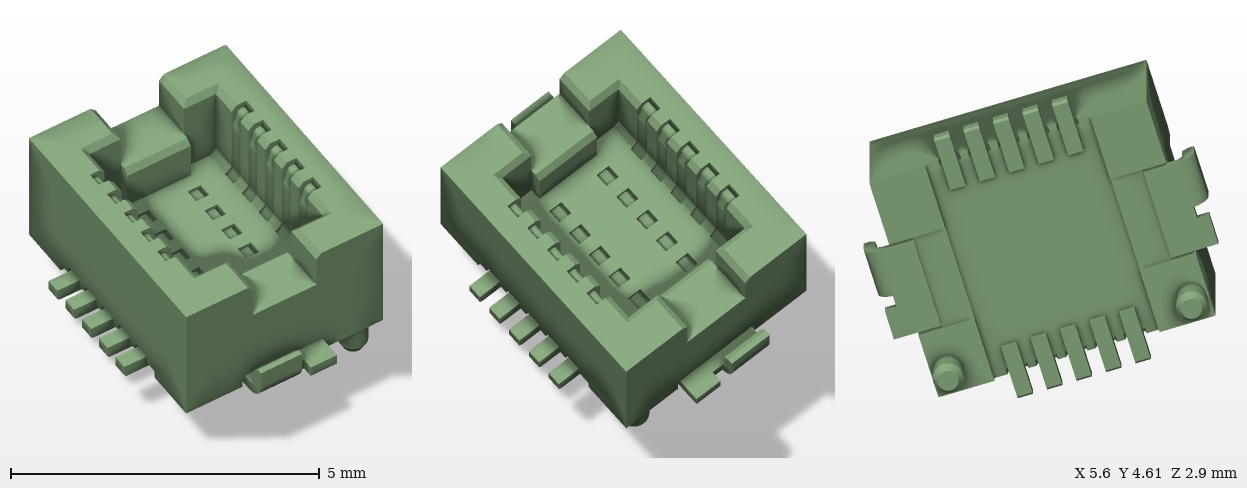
import cadquery as cq
import math


BODY_X = 4.7
BODY_Y = 3.8
BODY_Z = 2.3
EDGE_CHAMFER = 0.1

CAVITY_X = 3.2
CAVITY_Y = 2.45
FLOOR_Z = 0.8

SLOT_Y = 1.22
SLOT_Z = 1.6
BLOCK_GAP_X = 2.8

CHANNEL_X = 2.8
CHANNEL_Z = 0.15
GROOVE_Y = 1.62
GROOVE_Z = 0.065
END_NOTCH_Z = 0.24
END_NOTCH_DEPTH = 0.4

CONTACT_COUNT = 5
PITCH = 0.5
CONTACT_WIDTH = 0.26
CONTACT_X = [(i - (CONTACT_COUNT - 1) / 2) * PITCH for i in range(CONTACT_COUNT)]

CONTACT_SLOT_Y = 1.505
CONTACT_GAP_Z = 2.08
CREST_BACK_Y = 1.46
CREST_FRONT_Y = 1.42
CREST_Z = 2.19
SHOULDER_Y = 1.325
SHOULDER_Z = 2.13
KNEE_Y = 1.258
KNEE_TOP_Z = 1.91
KNEE_BOTTOM_Z = 1.84
CONTACT_FACE_Y = 1.245
FOOT_SLOPE = math.radians(50)
FOOT_BEND = 0.09
FOOT_BEND_Z = FLOOR_Z + 0.09
FOOT_SLOPE_Y = CONTACT_FACE_Y - FOOT_BEND * (1 - math.cos(FOOT_SLOPE))
FOOT_SLOPE_Z = FOOT_BEND_Z - FOOT_BEND * math.sin(FOOT_SLOPE)
FOOT_Y = 1.09
FOOT_Z = FOOT_SLOPE_Z - (FOOT_SLOPE_Y - FOOT_Y) * math.tan(FOOT_SLOPE)

WINDOW_Y = 0.5
WINDOW_SIZE = 0.255
WINDOW_DEPTH = 0.14
TIP_DEPTH = 0.065
TIP_SLOPE = 0.06

LEAD_SPAN_Y = 4.61
LEAD_INNER_Y = 1.4
LEAD_Z = 0.235
LEAD_END_CHAMFER = 0.04
LEAD_NOTCH_TOP = 0.31
LEAD_NOTCH_BASE = 0.37
LEAD_NOTCH_Z = 0.295
LEAD_NOTCH_DEPTH = 0.1

METAL = 0.2
BRACKET_TAB_X = 2.75
TAB_Y = (0.245, 0.75)
NECK_X = 2.55
HOOK_X = 2.8
HOOK_Y = (-0.75, 0.045)
HOOK_Z = 0.69
HOOK_BEND = 0.36
HOOK_INNER_BEND = 0.14
HOOK_TIP_CHAMFER = 0.1

PEG_X = 2.065
PEG_Y = 1.5
PEG_DIAMETER = 0.5
PEG_TIP_DIAMETER = 0.34
PEG_LENGTH = 0.6
PEG_TIP_LENGTH = 0.15


def box(x, y, z):
    """Box spanning the given (low, high) ranges."""
    size = (x[1] - x[0], y[1] - y[0], z[1] - z[0])
    return cq.Workplane("XY").box(*size, centered=False).translate((x[0], y[0], z[0]))


def centered_box(size_x, size_y, z):
    """Box centered on the Z axis, spanning the (low, high) range z."""
    return box((-size_x / 2, size_x / 2), (-size_y / 2, size_y / 2), z)


def extrude_x(sketch, center, width):
    """Extrude a (Y, Z) sketch symmetrically about X = center."""
    return sketch.extrude(width / 2, both=True).translate((center, 0, 0))


def both_sides(shape, plane):
    """The shape together with its mirror image about the given plane."""
    return shape.union(shape.mirror(plane))


def make_cavity():
    """Socket opening with its end slots; the top rim is chamfered."""
    well = centered_box(CAVITY_X, CAVITY_Y, (FLOOR_Z, BODY_Z))
    end_slot = centered_box(BODY_X, SLOT_Y, (SLOT_Z, BODY_Z))
    rim = cq.Workplane("XY").workplane(offset=BODY_Z)
    grow = 2 * EDGE_CHAMFER
    well_rim = (
        rim.rect(CAVITY_X + grow, CAVITY_Y + grow)
        .workplane(offset=-EDGE_CHAMFER)
        .rect(CAVITY_X, CAVITY_Y)
        .loft(ruled=True)
    )
    slot_rim = (
        cq.Workplane("YZ")
        .moveTo(-SLOT_Y / 2, BODY_Z - EDGE_CHAMFER)
        .lineTo(SLOT_Y / 2, BODY_Z - EDGE_CHAMFER)
        .lineTo(SLOT_Y / 2 + EDGE_CHAMFER, BODY_Z)
        .lineTo(-SLOT_Y / 2 - EDGE_CHAMFER, BODY_Z)
        .close()
    )
    cavity = well.edges("|X and <Z").chamfer(EDGE_CHAMFER)
    return cavity.union(end_slot).union(well_rim).union(extrude_x(slot_rim, 0, BODY_X))


def make_end_block():
    """Low block that closes the +X end of the cavity under the slot."""
    block = box((BLOCK_GAP_X / 2, BODY_X / 2), (-SLOT_Y / 2, SLOT_Y / 2), (FLOOR_Z, SLOT_Z))
    return block.edges("<X and >Z").chamfer(EDGE_CHAMFER)


def make_contact_slot(x):
    """Recess in the +Y wall whose outer boundary is the contact surface."""
    profile = (
        cq.Workplane("YZ")
        .moveTo(FOOT_Y, BODY_Z)
        .lineTo(CONTACT_SLOT_Y, BODY_Z)
        .lineTo(CONTACT_SLOT_Y, CONTACT_GAP_Z)
        .lineTo(CREST_BACK_Y, CREST_Z)
        .lineTo(CREST_FRONT_Y, CREST_Z)
        .tangentArcPoint((SHOULDER_Y, SHOULDER_Z), relative=False)
        .lineTo(KNEE_Y, KNEE_TOP_Z)
        .tangentArcPoint((CONTACT_FACE_Y, KNEE_BOTTOM_Z), relative=False)
        .lineTo(CONTACT_FACE_Y, FOOT_BEND_Z)
        .tangentArcPoint((FOOT_SLOPE_Y, FOOT_SLOPE_Z), relative=False)
        .lineTo(FOOT_Y, FOOT_Z)
        .close()
    )
    return extrude_x(profile, x, CONTACT_WIDTH)


def make_floor_window(x, y):
    """Floor pocket that leaves a sloped contact tip standing inside it."""
    half = WINDOW_SIZE / 2
    low = FLOOR_Z - WINDOW_DEPTH
    tip = FLOOR_Z - TIP_DEPTH
    profile = (
        cq.Workplane("YZ")
        .moveTo(y - half, FLOOR_Z)
        .lineTo(y - half, low)
        .lineTo(y - half + TIP_SLOPE, tip)
        .lineTo(y + half - TIP_SLOPE, tip)
        .lineTo(y + half, low)
        .lineTo(y + half, FLOOR_Z)
        .close()
    )
    return extrude_x(profile, x, WINDOW_SIZE)


def make_lead_notch(x):
    """Tapered clearance above one lead in the +Y face."""
    return (
        cq.Workplane("XZ")
        .moveTo(x - LEAD_NOTCH_BASE / 2, CHANNEL_Z)
        .lineTo(x + LEAD_NOTCH_BASE / 2, CHANNEL_Z)
        .lineTo(x + LEAD_NOTCH_TOP / 2, LEAD_NOTCH_Z)
        .lineTo(x - LEAD_NOTCH_TOP / 2, LEAD_NOTCH_Z)
        .close()
        .extrude(LEAD_NOTCH_DEPTH)
        .translate((0, BODY_Y / 2, 0))
    )


def make_lead(x):
    """Solder lead projecting from the +Y face."""
    half = CONTACT_WIDTH / 2
    lead = box((x - half, x + half), (LEAD_INNER_Y, LEAD_SPAN_Y / 2), (0, LEAD_Z))
    return lead.edges(">Y and <Z").chamfer(LEAD_END_CHAMFER)


def make_bracket():
    """Hold-down at the +X end: a flat tab, a neck and an upturned hook."""
    inner_x = BODY_X / 2 - END_NOTCH_DEPTH
    tab = box((inner_x, BRACKET_TAB_X), TAB_Y, (0, METAL))
    neck = box((inner_x, NECK_X), (HOOK_Y[1], TAB_Y[0]), (0, METAL))
    hook_inner_x = HOOK_X - METAL
    hook = (
        cq.Workplane("XZ")
        .moveTo(inner_x, 0)
        .lineTo(HOOK_X - HOOK_BEND, 0)
        .tangentArcPoint((HOOK_X, HOOK_BEND), relative=False)
        .lineTo(HOOK_X, HOOK_Z)
        .lineTo(hook_inner_x + HOOK_TIP_CHAMFER, HOOK_Z)
        .lineTo(hook_inner_x, HOOK_Z - HOOK_TIP_CHAMFER)
        .lineTo(hook_inner_x, METAL + HOOK_INNER_BEND)
        .tangentArcPoint((hook_inner_x - HOOK_INNER_BEND, METAL), relative=False)
        .lineTo(inner_x, METAL)
        .close()
        .extrude(HOOK_Y[1] - HOOK_Y[0])
        .translate((0, HOOK_Y[1], 0))
    )
    return tab.union(neck).union(hook)


def make_peg():
    """Locating peg below the housing with a conical tip, on the +X side."""
    shank = PEG_LENGTH - PEG_TIP_LENGTH
    return (
        cq.Workplane("XZ")
        .lineTo(PEG_DIAMETER / 2, 0)
        .lineTo(PEG_DIAMETER / 2, -shank)
        .lineTo(PEG_TIP_DIAMETER / 2, -PEG_LENGTH)
        .lineTo(0, -PEG_LENGTH)
        .close()
        .revolve(360, (0, 0, 0), (0, 1, 0))
        .translate((PEG_X, PEG_Y, 0))
    )


housing = centered_box(BODY_X, BODY_Y, (0, BODY_Z)).cut(make_cavity())
housing = housing.union(both_sides(make_end_block(), "YZ"))
housing = housing.cut(centered_box(CHANNEL_X, BODY_Y, (0, CHANNEL_Z)))
housing = housing.cut(centered_box(BODY_X, GROOVE_Y, (0, GROOVE_Z)))
end_notch = box(
    (BODY_X / 2 - END_NOTCH_DEPTH, BODY_X / 2),
    (-GROOVE_Y / 2, GROOVE_Y / 2),
    (0, END_NOTCH_Z),
)
housing = housing.cut(both_sides(end_notch, "YZ"))

for contact_x in CONTACT_X:
    housing = housing.cut(both_sides(make_contact_slot(contact_x), "XZ"))
    housing = housing.cut(both_sides(make_floor_window(contact_x, WINDOW_Y), "XZ"))
    housing = housing.cut(both_sides(make_lead_notch(contact_x), "XZ"))

result = housing
for contact_x in CONTACT_X:
    result = result.union(both_sides(make_lead(contact_x), "XZ"))
result = result.union(both_sides(make_bracket(), "YZ"))
result = result.union(both_sides(make_peg(), "YZ"))